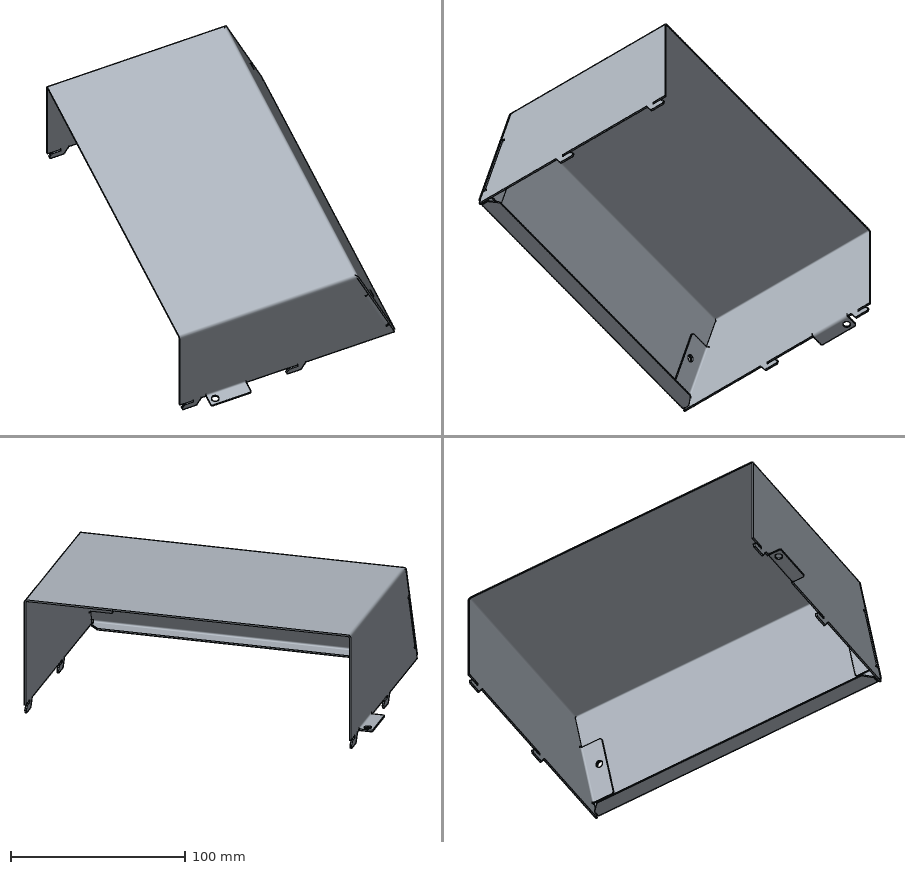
import cadquery as cq
import math


sheet = 1.0
bend_in = 1.0
bend_out = bend_in + sheet
seam = 0.06

total_width = 203.5
total_depth = 134.1
total_height = 70.5
hook_drop = 5.5
width = 195.5
height = total_height - hook_drop

lean = math.radians(20)
end_relief = 2.0
flange_depth = 10.0
flange_chamfer = 5.0

tab_reach = 14.9
tab_start = 21.5
tab_length = 37.2
tab_corner = 1.5
tab_relief = 0.6
tab_hole_diameter = 4.3
tab_hole_inset = 10.0
tab_hole_drop = 36.8

foot_front = 16.3
foot_length = 25.0
foot_corner = 1.0
foot_hole_diameter = 4.3
foot_hole_inset = 3.9
foot_hole_y = 20.4

hook_neck_front = 8.5
hook_pitch = 65.1
hook_slot = 1.5
hook_finger_end = 5.3
hook_tip = (-7.3, -3.7)
hook_toe = 6.7
hook_heel = 1.8
hook_root = 4.9

sin_lean = math.sin(lean)
cos_lean = math.cos(lean)

corner_y = total_depth - bend_out + bend_out / cos_lean - (height - bend_out) * math.tan(lean)
corner = (corner_y, height)
roof_end = corner_y - bend_out * math.tan((math.pi / 2 - lean) / 2)
low_axis = (total_depth - bend_out, bend_out)


def wall_point(down, inward):
    """(Y, Z) at a distance down the back wall's outer face and a depth behind that face."""
    return (
        corner[0] + down * sin_lean - inward * cos_lean,
        corner[1] - down * cos_lean - inward * sin_lean,
    )


def inward_plane(down, inward):
    """Plane parallel to the back wall: X across, Y up the slope, normal pointing inward."""
    return cq.Plane(
        origin=(0, *wall_point(down, inward)),
        xDir=(1, 0, 0),
        normal=(0, -cos_lean, -sin_lean),
    )


def block(x0, x1, y0, y1, z0, z1):
    """Box between the given limits."""
    return cq.Workplane("XY").box(x1 - x0, y1 - y0, z1 - z0, centered=False).translate((x0, y0, z0))


def side_profile(points, x0, x1):
    """Closed (Y, Z) outline spanning x0 to x1."""
    return cq.Workplane("YZ", origin=(x0, 0, 0)).polyline(points).close().extrude(x1 - x0)


def mirrored(shape):
    """The same shape on the opposite side wall."""
    return shape.mirror("YZ", (width / 2, 0, 0))


def around(axis, radius, angle):
    """Point at a radius and an angle about a bend axis."""
    return (axis[0] + radius * math.cos(angle), axis[1] + radius * math.sin(angle))


def bend(sketch, axis, start, end):
    """Ring sector of sheet about a bend axis, between two angles, drawn on a workplane."""
    middle = (start + end) / 2
    return (
        sketch.moveTo(*around(axis, bend_out, start))
        .threePointArc(around(axis, bend_out, middle), around(axis, bend_out, end))
        .lineTo(*around(axis, bend_in, end))
        .threePointArc(around(axis, bend_in, middle), around(axis, bend_in, start))
        .close()
    )


def make_roof():
    """Flat of the roof between its three bends."""
    return block(bend_out, width - bend_out, 0, roof_end, height - sheet, height)


def make_back_wall():
    """Leaning wall with its bend to the roof, its top corners rounded like the side bends."""
    top_axis = (roof_end, height - bend_out)
    top_bend = bend(cq.Workplane("YZ"), top_axis, math.pi / 2, lean).extrude(width)
    panel = side_profile(
        [
            around(top_axis, bend_out, lean),
            around(low_axis, bend_out, lean),
            around(low_axis, bend_in, lean),
            around(top_axis, bend_in, lean),
        ],
        0,
        width,
    )
    rounded_envelope = block(0, width, 0, total_depth, 0, height).edges("|Y and >Z").fillet(bend_out)
    return top_bend.union(panel).intersect(rounded_envelope)


def make_bottom_flange():
    """Flange folded forward from the foot of the back wall, with mitred front corners."""
    length = width - 2 * end_relief
    low_bend = (
        bend(cq.Workplane("YZ", origin=(end_relief, 0, 0)), low_axis, lean, -math.pi / 2)
        .extrude(length)
    )
    flat = block(
        end_relief, width - end_relief, total_depth - flange_depth, low_axis[0], 0, sheet
    ).edges("|Z and <Y").chamfer(flange_chamfer)
    return low_bend.union(flat)


def make_hook(neck_front):
    """Forward-pointing hook below the left wall."""
    points = [
        (0, 0),
        (0, -hook_slot),
        (-hook_finger_end, -hook_slot),
        hook_tip,
        (-hook_toe, -hook_drop),
        (hook_heel, -hook_drop),
        (hook_root, 0),
    ]
    return side_profile([(neck_front + y, z) for y, z in points], 0, sheet)


def make_side_wall():
    """Left wall with its bend to the roof, hooks and a fixing tab against the back wall."""
    clearance = sheet + seam
    fold_axis = (bend_out, clearance + bend_out)
    slope = cq.Plane(
        origin=(0, *wall_point(tab_start, 0)),
        xDir=(1, 0, 0),
        normal=(0, sin_lean, -cos_lean),
    )
    tab_face = inward_plane(tab_start + tab_length, clearance)

    roof_bend = (
        bend(cq.Workplane("XZ"), (bend_out, height - bend_out), math.pi / 2, math.pi)
        .extrude(-total_depth)
    )
    panel = block(0, sheet, 0, total_depth, 0, height - bend_out)
    rear_top = corner_y - clearance / cos_lean
    outline = side_profile(
        [
            (0, 0),
            (0, height),
            (roof_end, height),
            (roof_end, height - (roof_end - rear_top) / math.tan(lean)),
            (rear_top + height * math.tan(lean), 0),
        ],
        0,
        bend_out,
    )
    tab_space = (
        cq.Workplane(slope)
        .workplane(offset=-tab_relief)
        .rect(sheet, fold_axis[1], centered=False)
        .extrude(tab_length + 2 * tab_relief)
    )
    wall = panel.union(roof_bend).intersect(outline).cut(tab_space)

    fold = bend(cq.Workplane(slope), fold_axis, math.pi, 1.5 * math.pi).extrude(tab_length)
    flat = (
        cq.Workplane(tab_face)
        .moveTo(bend_out, 0)
        .rect(tab_reach - bend_out, tab_length, centered=False)
        .extrude(sheet)
        .faces(">X")
        .edges(cq.selectors.ParallelDirSelector(tab_face.zDir))
        .fillet(tab_corner)
    )
    wall = wall.union(fold).union(flat)
    for neck_front in (hook_neck_front, hook_neck_front + hook_pitch):
        wall = wall.union(make_hook(neck_front))
    return wall


def make_tab_hole():
    """Drill through the back wall and the left fixing tab."""
    drill_depth = 3 * sheet
    return (
        cq.Workplane(inward_plane(tab_hole_drop, 0))
        .center(tab_hole_inset, 0)
        .circle(tab_hole_diameter / 2)
        .extrude(drill_depth)
    )


def make_foot():
    """Flat foot folded outward from the bottom edge of the right-hand wall."""
    fold_axis = (width + bend_in, bend_out)
    foot_back = foot_front + foot_length
    fold = (
        bend(cq.Workplane("XZ", origin=(0, foot_front, 0)), fold_axis, math.pi, 1.5 * math.pi)
        .extrude(-foot_length)
    )
    flat = (
        block(fold_axis[0], total_width, foot_front, foot_back, 0, sheet)
        .edges("|Z and >X")
        .fillet(foot_corner)
    )
    hole = (
        cq.Workplane("XY")
        .center(total_width - foot_hole_inset, foot_hole_y)
        .circle(foot_hole_diameter / 2)
        .extrude(sheet)
    )
    return fold.union(flat).cut(hole)


left_wall = make_side_wall()
foot_space = block(width - sheet, width, foot_front, foot_front + foot_length, 0, bend_out)
right_wall = mirrored(left_wall).cut(foot_space)
tab_hole = make_tab_hole()

result = (
    make_roof()
    .union(make_back_wall())
    .union(make_bottom_flange())
    .union(left_wall)
    .union(right_wall)
    .union(make_foot())
    .cut(tab_hole)
    .cut(mirrored(tab_hole))
)